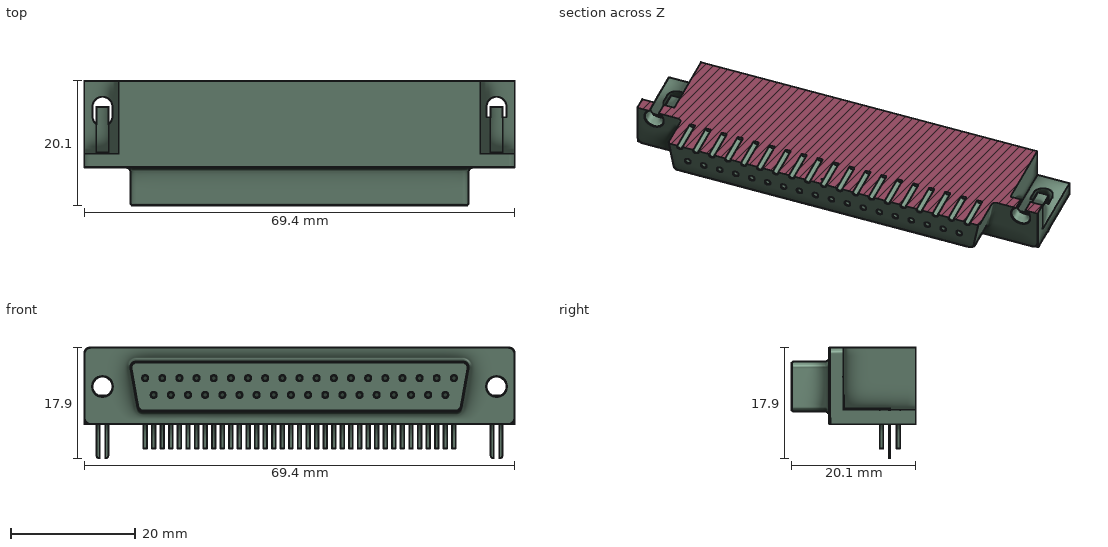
import cadquery as cq
import math

LENGTH = 69.4
DEPTH = 20.1
BODY_HEIGHT = 12.4
PIN_DROP = 3.9
LOCK_DROP = 5.5

FRONT_FACE = -14.0
FLANGE_DEPTH = 2.3
PLATE_DEPTH = 0.3
CORNER_RADIUS = 1.0
BASE_THICKNESS = 2.35
BLOCK_LENGTH = 58.3
SCREW_SPACING = 63.5
SCREW_DIAMETER = 3.2
CENTER_HEIGHT = 6.1
PLATE_BEVEL_DEPTH = 0.2
PLATE_BEVEL = 0.105

SHELL_LENGTH = 54.55
SHELL_HEIGHT = 8.1
SHELL_RADIUS = 1.0
SHELL_SLOPE = math.radians(10)
FLARE_RADIUS = 0.6
RIM_RADIUS = 0.2
NOSE_DEPTH = 0.2

TOP_ROW_COUNT = 19
TOP_ROW_SPAN = 49.75
PITCH = TOP_ROW_SPAN / (TOP_ROW_COUNT - 1)
ROW_SPACING = 2.7
SOCKET_DIAMETER = 0.8
SOCKET_DEPTH = 5.55
SOCKET_BEVEL = 0.105
PIN_DIAMETER = 0.64
PIN_TIP_CHAMFER = 0.1
PIN_REAR_Y = -2.85

SLOT_DIAMETER = 3.2
SLOT_REAR_Y = -2.6
ROUND_SLOT_FRONT_Y = -7.3
SQUARE_SLOT_FRONT_Y = -5.8
STRAP_WIDTH = 1.95
STRAP_THICKNESS = 0.2
STRAP_REAR_Y = -4.15
STRAP_TOP = 4.7
PRONG_WIDTH = 0.55
PRONG_TIP_RADIUS = 0.5


def box(x_size, y_min, y_max, z_min, z_max, x_center=0):
    """Box centred on x_center, spanning the given Y and Z limits."""
    corner = (x_center - x_size / 2, y_min, z_min)
    return cq.Workplane("XY").box(x_size, y_max - y_min, z_max - z_min, centered=False).translate(corner)


def front_plane(y):
    """Workplane facing -Y at the given Y, with local X along +X and local Y along +Z."""
    return cq.Workplane("XZ", origin=(0, y, 0))


def make_housing():
    plate_back = FRONT_FACE + PLATE_DEPTH
    flange_back = FRONT_FACE + FLANGE_DEPTH
    flange = box(LENGTH, plate_back, flange_back, 0, BODY_HEIGHT)
    flange = flange.edges("|Y and >Z").fillet(CORNER_RADIUS)
    plate = box(LENGTH, FRONT_FACE, plate_back, 0, BODY_HEIGHT)
    plate = plate.edges("|Y").fillet(CORNER_RADIUS).faces("<Y").chamfer(PLATE_BEVEL, PLATE_BEVEL_DEPTH)
    base = box(LENGTH, plate_back, 0, 0, BASE_THICKNESS)
    block = box(BLOCK_LENGTH, plate_back, 0, 0, BODY_HEIGHT)
    return flange.union(plate).union(base).union(block)


def make_shell():
    corner_overhang = SHELL_RADIUS * ((1 + math.sin(SHELL_SLOPE)) / math.cos(SHELL_SLOPE) - 1)
    top_half = SHELL_LENGTH / 2 + corner_overhang
    bottom_half = top_half - SHELL_HEIGHT * math.tan(SHELL_SLOPE)
    top = CENTER_HEIGHT + SHELL_HEIGHT / 2
    bottom = CENTER_HEIGHT - SHELL_HEIGHT / 2
    outline = [(-top_half, top), (top_half, top), (bottom_half, bottom), (-bottom_half, bottom)]
    shell = front_plane(FRONT_FACE).polyline(outline).close().extrude(DEPTH + FRONT_FACE - NOSE_DEPTH)
    shell = shell.edges("|Y").fillet(SHELL_RADIUS).faces("<Y").edges().fillet(RIM_RADIUS)
    nose = shell.faces("<Y").wires().toPending().workplane().extrude(NOSE_DEPTH, combine=False)
    return shell.union(nose)


def row_positions(count):
    return [(i - (count - 1) / 2) * PITCH for i in range(count)]


def make_pins(count, y):
    pins = cq.Workplane("XY").pushPoints([(x, y) for x in row_positions(count)])
    pins = pins.circle(PIN_DIAMETER / 2).extrude(-PIN_DROP)
    return pins.faces("<Z").edges().chamfer(PIN_TIP_CHAMFER)


def make_bore(x, y, z, diameter, depth, bevel):
    """Cutter for a hole running in +Y from a mouth at the given Y, bevelled at the mouth."""
    radius = diameter / 2
    mouth_radius = radius + bevel
    profile = [(0, 0), (mouth_radius, 0), (radius, bevel), (radius, depth), (0, depth)]
    bore = cq.Workplane("XY").polyline(profile).close().revolve(360, (0, 0), (0, 1))
    return bore.translate((x, y, z))


def make_sockets():
    offset = ROW_SPACING / 2
    points = [(x, CENTER_HEIGHT + offset) for x in row_positions(TOP_ROW_COUNT)]
    points += [(x, CENTER_HEIGHT - offset) for x in row_positions(TOP_ROW_COUNT - 1)]
    bores = [make_bore(x, -DEPTH, z, SOCKET_DIAMETER, SOCKET_DEPTH, SOCKET_BEVEL).val() for x, z in points]
    return cq.Workplane(cq.Compound.makeCompound(bores))


def make_end_cuts(x):
    """Screw hole through the flange and slot through the base at one end."""
    screw_hole = make_bore(x, FRONT_FACE, CENTER_HEIGHT, SCREW_DIAMETER, FLANGE_DEPTH, PLATE_BEVEL)
    slot_radius = SLOT_DIAMETER / 2
    rear = cq.Workplane("XY").center(x, SLOT_REAR_Y - slot_radius).circle(slot_radius)
    slot = rear.extrude(BASE_THICKNESS)
    straight_front_y = SQUARE_SLOT_FRONT_Y
    if x < 0:
        straight_front_y = ROUND_SLOT_FRONT_Y + slot_radius
        front = cq.Workplane("XY").center(x, straight_front_y).circle(slot_radius)
        slot = slot.union(front.extrude(BASE_THICKNESS))
    straight = box(SLOT_DIAMETER, straight_front_y, SLOT_REAR_Y - slot_radius, 0, BASE_THICKNESS, x)
    slot = slot.union(straight)
    return screw_hole.union(slot)


def make_board_lock(x):
    """Bent strap: up the flange, along the base and down through the slot as two prongs."""
    flange_back = FRONT_FACE + FLANGE_DEPTH
    strap_top = BASE_THICKNESS + STRAP_THICKNESS
    down_y = STRAP_REAR_Y - STRAP_THICKNESS
    lock = box(STRAP_WIDTH, flange_back, STRAP_REAR_Y, BASE_THICKNESS, strap_top, x)
    upright = box(STRAP_WIDTH, flange_back, flange_back + STRAP_THICKNESS, BASE_THICKNESS, STRAP_TOP, x)
    lock = lock.union(upright)
    lock = lock.union(box(STRAP_WIDTH, down_y, STRAP_REAR_Y, 0, strap_top, x))
    prong_offset = (STRAP_WIDTH - PRONG_WIDTH) / 2
    for side in (-1, 1):
        outer_end = ">X" if side > 0 else "<X"
        prong = box(PRONG_WIDTH, down_y, STRAP_REAR_Y, -LOCK_DROP, 0, x + side * prong_offset)
        lock = lock.union(prong.edges("|Y and <Z").edges(outer_end).fillet(PRONG_TIP_RADIUS))
    return lock


def flare_shell_base(body):
    """Concave fillet where the shell meets the front of the plate."""
    margin = 0.7
    tolerance = 0.01
    half_length = SHELL_LENGTH / 2 + margin
    half_height = SHELL_HEIGHT / 2 + margin
    base_edges = cq.selectors.BoxSelector(
        (-half_length, FRONT_FACE - tolerance, CENTER_HEIGHT - half_height),
        (half_length, FRONT_FACE + tolerance, CENTER_HEIGHT + half_height),
        boundingbox=True,
    )
    return body.edges(base_edges).fillet(FLARE_RADIUS)


result = flare_shell_base(make_housing().union(make_shell()))
result = result.cut(make_sockets())
for end_x in (-SCREW_SPACING / 2, SCREW_SPACING / 2):
    result = result.cut(make_end_cuts(end_x)).union(make_board_lock(end_x))
result = result.union(make_pins(TOP_ROW_COUNT, PIN_REAR_Y))
result = result.union(make_pins(TOP_ROW_COUNT - 1, PIN_REAR_Y - ROW_SPACING))